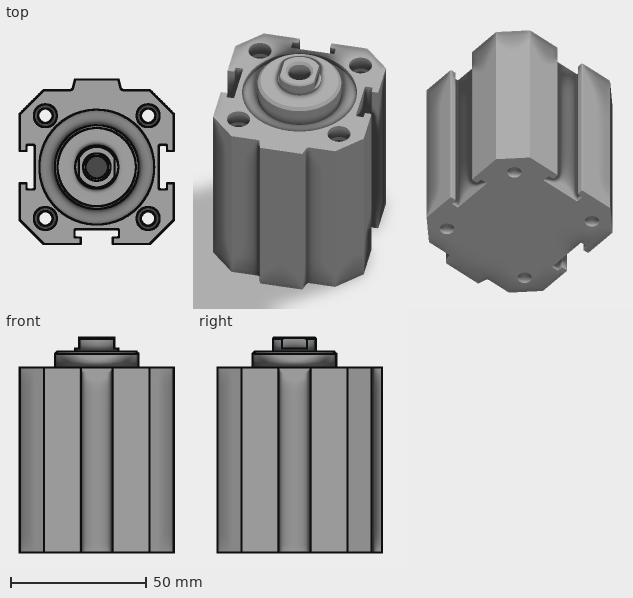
import cadquery as cq

total_height = 79.5
housing_width = 57.0
housing_depth = 61.0
housing_height = 68.5
half_width = housing_width / 2

corner_chamfer = 8.9
ridge_height = housing_depth - housing_width
ridge_top_width = 16.05
ridge_base_width = 18.1
ridge_tip_radius = 0.4
ridge_root_radius = 1.0

slot_side_angles = (0, 90, -90)
slot_mouth_width = 11.8
slot_inner_width = 16.4
slot_lip_depth = 2.55
slot_depth = 5.5
slot_edge_radius = 0.4

mount_spacing = 38.0
mount_hole_diameter = 5.3
mount_bore_diameter = 8.5
mount_bore_depth = 5.5

recess_diameter = 42.5
recess_depth = 2.0
guide_diameter = 31.0
guide_height = 6.0
guide_chamfer = 1.0

rod_diameter = 16.0
rod_bottom = 10.0
rod_tip_chamfer = 0.5
rod_flat_width = 13.0
rod_flat_length = 4.0
rod_hole_diameter = 8.35
rod_hole_depth = 15.1
rod_hole_mouth_diameter = 10.2
rod_hole_mouth_angle = 90.0


def make_ridge():
    """Tapered ridge along the rear side, rooted inside the housing."""
    tip = half_width + ridge_height
    inside = half_width - ridge_height
    return (
        cq.Workplane("XY")
        .polyline([
            (-ridge_base_width / 2, inside),
            (ridge_base_width / 2, inside),
            (ridge_base_width / 2, half_width),
            (ridge_top_width / 2, tip),
            (-ridge_top_width / 2, tip),
            (-ridge_base_width / 2, half_width),
        ])
        .close()
        .extrude(housing_height)
    )


def vertical_edges_at(x, y):
    """Selector for the full-height edges at (x, y) and at its mirror (-x, y)."""
    reach = 0.1
    boxes = [
        cq.selectors.BoxSelector(
            (side * x - reach, y - reach, -reach),
            (side * x + reach, y + reach, housing_height + reach),
            boundingbox=True,
        )
        for side in (-1, 1)
    ]
    return boxes[0] + boxes[1]


def cut_front_slot(body):
    """Cut a T-slot into the front side and round its lips and inner corners."""
    front = -half_width
    lip_back = front + slot_lip_depth
    floor = front + slot_depth
    mouth = (
        cq.Workplane("XY", origin=(0, front, 0))
        .box(slot_mouth_width, slot_depth, housing_height, centered=(True, False, False))
    )
    undercut = (
        cq.Workplane("XY", origin=(0, lip_back, 0))
        .box(slot_inner_width, floor - lip_back, housing_height, centered=(True, False, False))
    )
    body = body.cut(mouth.union(undercut))
    rounded_edges = [
        (slot_mouth_width / 2, front),
        (slot_mouth_width / 2, lip_back),
        (slot_inner_width / 2, lip_back),
        (slot_inner_width / 2, floor),
    ]
    for x, y in rounded_edges:
        body = body.edges(vertical_edges_at(x, y)).fillet(slot_edge_radius)
    return body


def make_housing():
    body = (
        cq.Workplane("XY")
        .rect(housing_width, housing_width)
        .extrude(housing_height)
        .edges("|Z")
        .chamfer(corner_chamfer)
        .union(make_ridge())
    )
    body = body.edges(vertical_edges_at(ridge_base_width / 2, half_width)).fillet(ridge_root_radius)
    body = body.edges(vertical_edges_at(ridge_top_width / 2, half_width + ridge_height)).fillet(ridge_tip_radius)

    for angle in slot_side_angles:
        turned = body.rotate((0, 0, 0), (0, 0, 1), -angle)
        body = cut_front_slot(turned).rotate((0, 0, 0), (0, 0, 1), angle)

    body = (
        body.faces(">Z")
        .workplane(origin=(0, 0, housing_height))
        .rect(mount_spacing, mount_spacing, forConstruction=True)
        .vertices()
        .cboreHole(mount_hole_diameter, mount_bore_diameter, mount_bore_depth)
    )

    recess_floor = housing_height - recess_depth
    recess = cq.Workplane("XY", origin=(0, 0, recess_floor)).circle(recess_diameter / 2).extrude(recess_depth)
    guide = (
        cq.Workplane("XY", origin=(0, 0, recess_floor))
        .circle(guide_diameter / 2)
        .extrude(recess_depth + guide_height)
        .faces(">Z")
        .chamfer(guide_chamfer)
    )
    body = body.cut(recess).union(guide)

    rod_seat = cq.Workplane("XY", origin=(0, 0, rod_bottom)).circle(rod_diameter / 2).extrude(total_height)
    return body.cut(rod_seat)


def make_rod():
    rod = (
        cq.Workplane("XY", origin=(0, 0, rod_bottom))
        .circle(rod_diameter / 2)
        .extrude(total_height - rod_bottom)
        .faces(">Z")
        .chamfer(rod_tip_chamfer)
    )

    tip_band = cq.Workplane("XY", origin=(0, 0, total_height - rod_flat_length))
    flat_cutter = (
        tip_band.rect(2 * rod_diameter, 2 * rod_diameter)
        .rect(rod_flat_width, 2 * rod_diameter)
        .extrude(rod_flat_length)
    )
    rod = rod.cut(flat_cutter)

    return (
        rod.faces(">Z")
        .workplane(origin=(0, 0, total_height))
        .cskHole(rod_hole_diameter, rod_hole_mouth_diameter, rod_hole_mouth_angle, rod_hole_depth)
    )


housing = make_housing()
rod = make_rod()

result = cq.Compound.makeCompound([housing.val(), rod.val()])